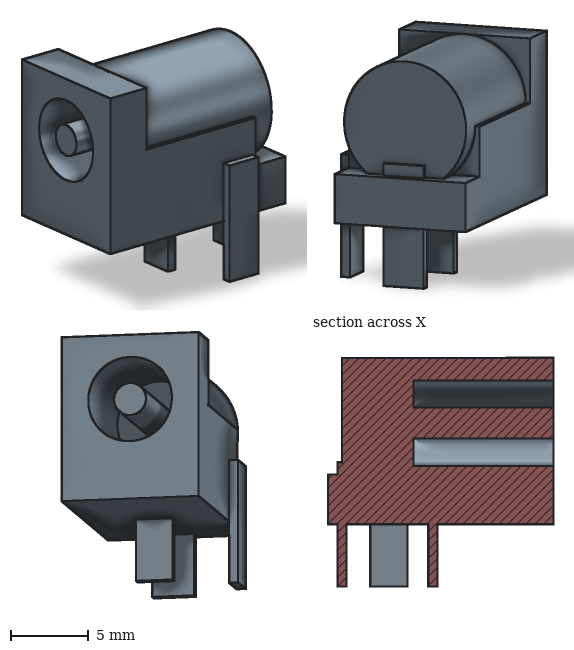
import cadquery as cq


housing_width = 9.0
housing_length = 14.5
housing_height = 10.7
flange_depth = 3.0
barrel_radius = 4.2
barrel_setback = 0.9
wall_setback = 2.5
wall_height = 6.47
ledge_height = 3.2
barrel_axis_height = housing_height - barrel_radius

socket_diameter = 5.5
socket_depth = 9.0
pin_diameter = 2.1

outer_height = 14.7
leg_length = outer_height - housing_height
terminal_thickness = 0.6
terminal_top = 4.0
rear_leg_width = 2.76
rear_leg_setback = 0.6
middle_leg_width = 2.4
middle_leg_setback = 6.44
side_terminal_width = 2.4
side_terminal_setback = 2.72


def block(x_min, x_size, y_min, y_max, z_min, z_max):
    """Box given by its X start and size and its Y and Z limits."""
    size = (x_size, y_max - y_min, z_max - z_min)
    return cq.Workplane("XY").box(*size, centered=False).translate((x_min, y_min, z_min))


def centred_block(width, y_min, y_max, z_min, z_max):
    """Box that is symmetric about X = 0."""
    return block(-width / 2, width, y_min, y_max, z_min, z_max)


def cylinder_along_y(diameter, length):
    """Cylinder on the barrel axis, running back from the front face."""
    front = cq.Workplane("XZ", origin=(0, 0, barrel_axis_height))
    return front.circle(diameter / 2).extrude(-length)


def make_leg(width, setback, top):
    """Flat leg facing the front, from below the housing up to the given height."""
    back = housing_length - setback
    return centred_block(width, back - terminal_thickness, back, -leg_length, top)


def make_housing():
    wall_end = housing_length - wall_setback
    body = centred_block(housing_width, 0, flange_depth, 0, housing_height)
    body = body.union(centred_block(housing_width, 0, wall_end, 0, wall_height))
    body = body.union(centred_block(housing_width, 0, housing_length, 0, ledge_height))
    body = body.union(cylinder_along_y(2 * barrel_radius, housing_length - barrel_setback))

    body = body.cut(cylinder_along_y(socket_diameter, socket_depth))
    body = body.union(cylinder_along_y(pin_diameter, socket_depth))

    body = body.union(make_leg(rear_leg_width, rear_leg_setback, terminal_top))
    return body.union(make_leg(middle_leg_width, middle_leg_setback, 0))


def make_side_terminal():
    """Flat strip touching the outside of the +X wall."""
    back = housing_length - side_terminal_setback
    front = back - side_terminal_width
    return block(housing_width / 2, terminal_thickness, front, back, -leg_length, terminal_top)


housing = make_housing()
side_terminal = make_side_terminal()

result = cq.Compound.makeCompound([housing.solids().val(), side_terminal.val()])